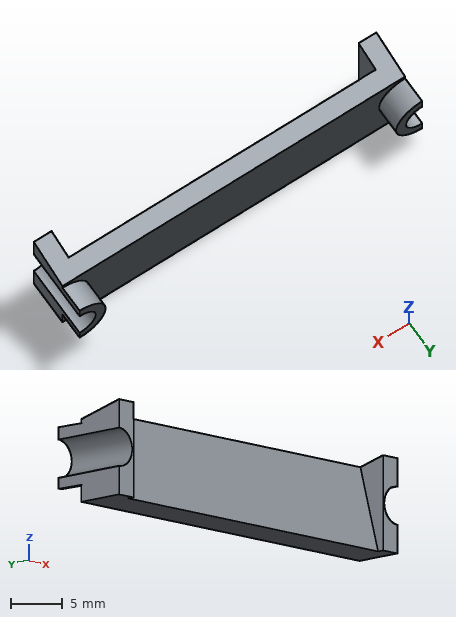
import cadquery as cq
import math

length = 39.8
depth = 7.9
height = 9.45
body_depth = 4.95

top_angle = math.radians(15)
draft_angle = math.radians(1)

end_wall = 2.05
rim_thickness = 2.0

axis_height = 4.7
boss_radius = 3.02
groove_radius = 1.87
overcut = 2.0


def top_height(y):
    """Height of the sloping top face at depth y."""
    return height - y * math.tan(top_angle)


def make_body():
    """Bar with a sloping top and a slightly drafted underside."""
    front_rise = body_depth * math.tan(draft_angle)
    return (
        cq.Workplane("YZ")
        .polyline([
            (0, front_rise),
            (body_depth, 0),
            (body_depth, top_height(body_depth)),
            (0, height),
        ])
        .close()
        .extrude(length)
    )


def make_recess():
    """Front recess whose back wall is square to the sloping top."""
    rim_y = body_depth - rim_thickness
    rim_z = top_height(rim_y)
    lower_z = -overcut
    upper_z = height + overcut
    lower_y = rim_y - (rim_z - lower_z) * math.tan(top_angle)
    upper_y = rim_y + (upper_z - rim_z) * math.tan(top_angle)
    front_y = lower_y - overcut
    return (
        cq.Workplane("YZ", origin=(end_wall, 0, 0))
        .polyline([(front_y, lower_z), (lower_y, lower_z), (upper_y, upper_z), (front_y, upper_z)])
        .close()
        .extrude(length - 2 * end_wall)
    )


def make_boss(x):
    """Round boss centred on an end face, running from inside the body to the back."""
    start_y = body_depth - rim_thickness / 2
    base = cq.Vector(x, start_y, axis_height)
    cylinder = cq.Solid.makeCylinder(boss_radius, depth - start_y, base, cq.Vector(0, 1, 0))
    inside = cq.Workplane("XY").box(length, depth, height, centered=False)
    return inside.intersect(cq.Workplane(cylinder))


def make_groove(x):
    """Round groove centred on an end face, rising toward the front with the underside."""
    direction = cq.Vector(0, math.cos(draft_angle), -math.sin(draft_angle))
    middle = cq.Vector(x, depth / 2, axis_height)
    reach = depth / 2 + overcut
    cylinder = cq.Solid.makeCylinder(groove_radius, 2 * reach, middle - direction * reach, direction)
    return cq.Workplane(cylinder)


result = make_body().cut(make_recess())
end_faces = (0, length)
for end_x in end_faces:
    result = result.union(make_boss(end_x))
for end_x in end_faces:
    result = result.cut(make_groove(end_x))